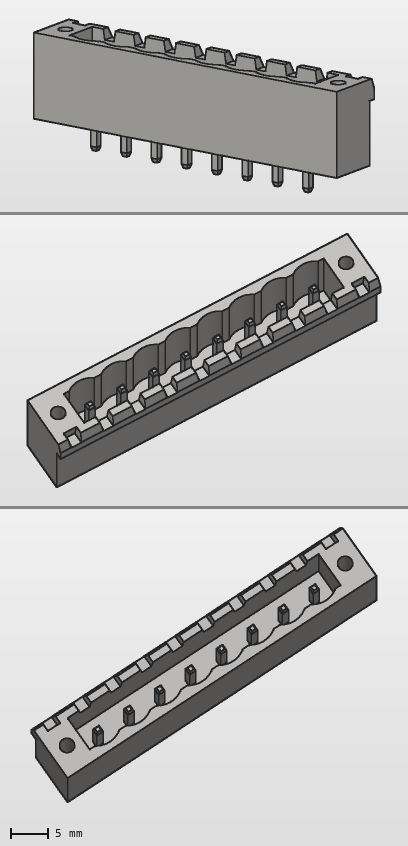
import cadquery as cq

pin_count = 8
pitch = 5.0
length = (pin_count + 2) * pitch
body_depth = 7.6
height = 12.0

ledge_overhang = 1.0
ledge_height = 3.0
ledge_chamfer_depth = 0.6
ledge_chamfer_height = 1.4
rear_y = body_depth + ledge_overhang

pocket_length = 40.6
pocket_floor_z = 3.5
pocket_front_y = 1.65
rear_wall = 1.7
pocket_rear_y = rear_y - rear_wall
scallop_radius = 3.3
scallop_depth = 0.65

notch_top_width = 2.0
notch_floor_width = 1.5
notch_depth = 1.5

row_y = body_depth / 2
pin_width = 1.0
pin_tip_width = 0.6
pin_tip_height = 0.6
pin_tail = 4.0
pin_top_z = 10.0

insert_diameter = 4.0
insert_hole_diameter = 2.0
insert_depth = 8.0

pin_positions = [(i - (pin_count - 1) / 2) * pitch for i in range(pin_count)]
insert_positions = [-(length - pitch) / 2, (length - pitch) / 2]


def make_housing():
    profile = [
        (0, 0),
        (body_depth, 0),
        (body_depth, height - ledge_height),
        (rear_y, height - ledge_height),
        (rear_y, height - ledge_chamfer_height),
        (rear_y - ledge_chamfer_depth, height),
        (0, height),
    ]
    return cq.Workplane("YZ").polyline(profile).close().extrude(length / 2, both=True)


def make_pocket():
    pocket_height = height - pocket_floor_z
    pocket = (
        cq.Workplane("XY", origin=(0, 0, pocket_floor_z))
        .moveTo(0, (pocket_front_y + pocket_rear_y) / 2)
        .rect(pocket_length, pocket_rear_y - pocket_front_y)
        .extrude(pocket_height)
    )
    half_chord = (scallop_radius**2 - (scallop_radius - scallop_depth) ** 2) ** 0.5
    for x in pin_positions:
        scallop = (
            cq.Workplane("XY", origin=(x, pocket_front_y, pocket_floor_z))
            .moveTo(-half_chord, 0)
            .threePointArc((0, -scallop_depth), (half_chord, 0))
            .close()
            .extrude(pocket_height)
        )
        pocket = pocket.union(scallop)
    return pocket


def make_notch(x):
    section = [
        (-notch_top_width / 2, 0),
        (-notch_floor_width / 2, -notch_depth),
        (notch_floor_width / 2, -notch_depth),
        (notch_top_width / 2, 0),
    ]
    return cq.Workplane("XZ", origin=(x, rear_y, height)).polyline(section).close().extrude(rear_wall)


def make_pin_tip(x, z, direction):
    return (
        cq.Workplane("XY", origin=(x, row_y, z))
        .rect(pin_width, pin_width)
        .workplane(offset=direction * pin_tip_height)
        .rect(pin_tip_width, pin_tip_width)
        .loft(ruled=True)
    )


def make_pin(x):
    shank_bottom_z = pin_tip_height - pin_tail
    shank_top_z = pin_top_z - pin_tip_height
    shank = (
        cq.Workplane("XY", origin=(x, row_y, shank_bottom_z))
        .rect(pin_width, pin_width)
        .extrude(shank_top_z - shank_bottom_z)
    )
    return shank.union(make_pin_tip(x, shank_bottom_z, -1)).union(make_pin_tip(x, shank_top_z, 1))


def make_top_cylinder(x, diameter):
    return cq.Workplane("XY", origin=(x, row_y, height)).circle(diameter / 2).extrude(-insert_depth)


result = make_housing().cut(make_pocket())
for x in insert_positions + pin_positions:
    result = result.cut(make_notch(x))
for x in pin_positions:
    result = result.union(make_pin(x))

for x in insert_positions:
    result = result.cut(make_top_cylinder(x, insert_diameter))
for x in insert_positions:
    insert = make_top_cylinder(x, insert_diameter).cut(make_top_cylinder(x, insert_hole_diameter))
    result = result.union(insert, clean=False)